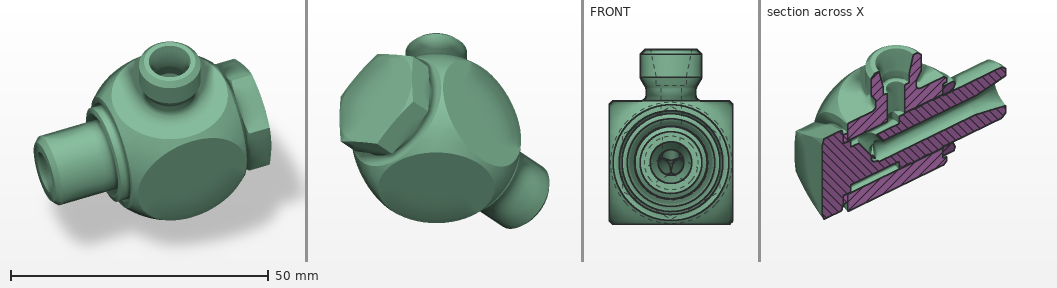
import cadquery as cq
import math


block_width = 24.0
block_front = -12.05
block_rear = 11.53
block_sphere_dia = 32.97
bolt_bore_dia = 14.4
seal_recess_dia = 20.2
seal_recess_depth = 1.0
recess_floor_fillet = 0.5

port_top = 22.0
port_dia = 12.0
port_chamfer = 1.0
port_collar_bottom = 16.55
neck_dia = 9.7
neck_cone_angle = 30.0
neck_top_fillet = 0.8
neck_base_fillet = 1.0
port_mouth_dia = 8.1
port_seat_dia = 6.0
port_seat_depth = 7.0
port_cone_angle = 12.0
port_passage_dia = 4.0

bolt_front = -26.0
bolt_rear = 17.5
thread_dia = 14.0
thread_chamfer = 1.0
shank_dia = 14.35
head_underside = 12.5
head_across_flats = 19.0
head_sides = 6
head_corner_drop = 0.35
groove_dia = 10.4
groove_front = -0.65
groove_rear = 10.65
bolt_mouth_dia = 8.1
bolt_bore_inner_dia = 5.0
bolt_cone_angle = 12.0
cross_hole_dia = 3.5
cross_hole_count = 3
cross_hole_tilt = 30.0
cross_hole_floor_y = 4.35
cross_hole_floor_radius = 0.95
drill_tip = 5.52
drill_half_angle = 59.0

seal_outer_dia = 19.0
front_seal_bore_dia = 14.1
front_seal_tip_dia = 17.0
front_seal_tip = -14.0
front_seal_lip = 0.25
front_seal_cone_depth = 0.55

seal_recess_floor = block_front + seal_recess_depth
block_top = block_width / 2


def tangent(degrees):
    return math.tan(math.radians(degrees))


def turned_about_y(points):
    """Solid of revolution about Y from (radius, y) points."""
    return cq.Workplane("XY").polyline(points).close().revolve(360, (0, 0, 0), (0, 1, 0))


def turned_about_z(points):
    """Solid of revolution about Z from (radius, z) points."""
    return cq.Workplane("XZ").polyline(points).close().revolve(360, (0, 0, 0), (0, 1, 0))


def cylinder_along_y(diameter, start, end):
    return turned_about_y([(0, start), (diameter / 2, start), (diameter / 2, end), (0, end)])


def make_block():
    """Square block whose corners are rounded off by a sphere."""
    depth = block_rear - block_front
    middle = (block_rear + block_front) / 2
    block = cq.Workplane("XY").box(block_width, depth, block_width).translate((0, middle, 0))
    return block.intersect(cq.Workplane("XY").sphere(block_sphere_dia / 2))


def make_port():
    """Stub with a coned collar and a filleted neck, ending inside the block."""
    port_radius = port_dia / 2
    neck_radius = neck_dia / 2
    neck_top = port_collar_bottom - (port_radius - neck_radius) / tangent(neck_cone_angle)
    blend_angle = math.radians(neck_cone_angle)
    blend_half = neck_top_fillet * math.tan(blend_angle / 2)
    blend_start = (
        neck_radius + blend_half * math.sin(blend_angle),
        neck_top + blend_half * math.cos(blend_angle),
    )
    base_top = block_top + neck_base_fillet
    return (
        cq.Workplane("XZ")
        .moveTo(0, port_top)
        .lineTo(port_radius - port_chamfer, port_top)
        .lineTo(port_radius, port_top - port_chamfer)
        .lineTo(port_radius, port_collar_bottom)
        .lineTo(*blend_start)
        .radiusArc((neck_radius, neck_top - blend_half), -neck_top_fillet)
        .lineTo(neck_radius, base_top)
        .radiusArc((neck_radius + neck_base_fillet, block_top), -neck_base_fillet)
        .lineTo(neck_radius + neck_base_fillet, block_top - neck_base_fillet)
        .lineTo(0, block_top - neck_base_fillet)
        .close()
        .revolve(360, (0, 0, 0), (0, 1, 0))
    )


def make_port_bore():
    """Tube socket with a coned mouth, a flat seat and a passage down to the bolt."""
    mouth = port_mouth_dia / 2
    seat = port_seat_dia / 2
    passage = port_passage_dia / 2
    cone_end = port_top - (mouth - seat) / tangent(port_cone_angle)
    seat_level = port_top - port_seat_depth
    return turned_about_z([
        (0, port_top),
        (mouth, port_top),
        (seat, cone_end),
        (seat, seat_level),
        (passage, seat_level),
        (passage, 0),
        (0, 0),
    ])


def make_seal_recess():
    recess = cylinder_along_y(seal_recess_dia, block_front, seal_recess_floor)
    return recess.faces(">Y").edges().fillet(recess_floor_fillet)


def make_housing():
    return (
        make_block()
        .union(make_port())
        .cut(make_port_bore())
        .cut(make_seal_recess())
        .cut(cylinder_along_y(bolt_bore_dia, block_front, block_rear))
    )


def make_bolt_head():
    """Hexagon with its flats facing X and its corners coned off at both ends."""
    corner_radius = head_across_flats / 2 / math.cos(math.pi / head_sides)
    flat_radius = head_across_flats / 2
    height = bolt_rear - head_underside
    hexagon = (
        cq.Workplane("XZ", origin=(0, bolt_rear, 0))
        .polygon(head_sides, 2 * corner_radius)
        .extrude(height)
        .rotate((0, 0, 0), (0, 1, 0), 180 / head_sides)
    )
    envelope = turned_about_y([
        (0, head_underside),
        (flat_radius, head_underside),
        (corner_radius, head_underside + head_corner_drop),
        (corner_radius, bolt_rear - head_corner_drop),
        (flat_radius, bolt_rear),
        (0, bolt_rear),
    ])
    return hexagon.intersect(envelope)


def make_bolt_shaft():
    """Threaded end, plain shank and the annular flow groove."""
    thread = thread_dia / 2
    shank = shank_dia / 2
    groove = groove_dia / 2
    return turned_about_y([
        (0, bolt_front),
        (thread - thread_chamfer, bolt_front),
        (thread, bolt_front + thread_chamfer),
        (thread, seal_recess_floor),
        (shank, seal_recess_floor),
        (shank, groove_front),
        (groove, groove_front),
        (groove, groove_rear),
        (shank, groove_rear),
        (shank, head_underside),
        (0, head_underside),
    ])


def make_bolt_bore():
    """Blind bore with a coned mouth and a drill point that opens into the cross holes."""
    mouth = bolt_mouth_dia / 2
    inner = bolt_bore_inner_dia / 2
    cone_end = bolt_front + (mouth - inner) / tangent(bolt_cone_angle)
    drill_shoulder = drill_tip - inner / tangent(drill_half_angle)
    return turned_about_y([
        (0, bolt_front),
        (mouth, bolt_front),
        (inner, cone_end),
        (inner, drill_shoulder),
        (0, drill_tip),
    ])


def make_cross_hole():
    """Blind hole above the bolt axis, leaning toward the bolt head, from the bore out into the groove."""
    hole = cq.Workplane("XY").circle(cross_hole_dia / 2).extrude(groove_dia)
    leaning_hole = hole.rotate((0, 0, 0), (1, 0, 0), -cross_hole_tilt)
    placed_hole = leaning_hole.translate((0, cross_hole_floor_y, cross_hole_floor_radius))
    return placed_hole.intersect(cylinder_along_y(groove_dia, groove_front, groove_rear))


def make_bolt():
    bolt = make_bolt_head().union(make_bolt_shaft()).cut(make_bolt_bore())
    cross_hole = make_cross_hole()
    for index in range(cross_hole_count):
        angle = index * 360 / cross_hole_count
        bolt = bolt.cut(cross_hole.rotate((0, 0, 0), (0, 1, 0), angle))
    return bolt


def make_front_seal():
    """Ring with a raised lip between an outer bevel and an inner cone."""
    outer = seal_outer_dia / 2
    bore = front_seal_bore_dia / 2
    tip = front_seal_tip_dia / 2
    return turned_about_y([
        (bore, seal_recess_floor),
        (outer, seal_recess_floor),
        (outer, front_seal_tip + front_seal_lip),
        (tip, front_seal_tip),
        (bore, front_seal_tip + front_seal_cone_depth),
    ])


def make_rear_seal():
    """Flat ring clamped between the block and the bolt head."""
    ring = cylinder_along_y(seal_outer_dia, block_rear, head_underside)
    return ring.cut(cylinder_along_y(bolt_bore_dia, block_rear, head_underside))


housing = make_housing()
bolt = make_bolt()
front_seal = make_front_seal()
rear_seal = make_rear_seal()

bodies = [housing, bolt, front_seal, rear_seal]
result = cq.Compound.makeCompound([body.solids().val() for body in bodies])